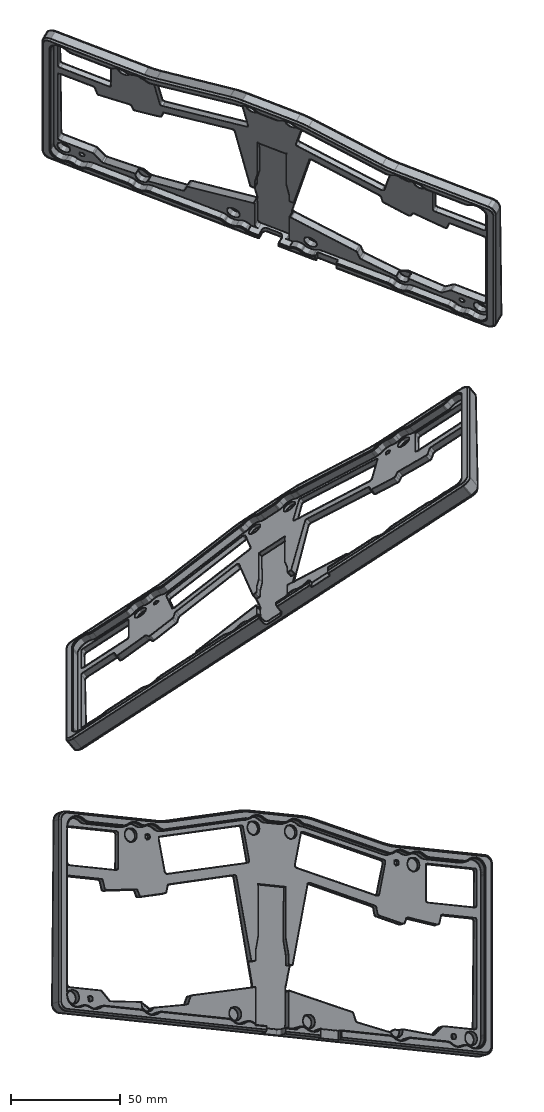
import cadquery as cq
import math

width = 229.0
height = 102.0
bottom_depth = 8.0
back_tilt = 1.0
arm_angle = 12.0
arm_inner_x = 16.7
arm_outer_x = 60.0
corner_radius = 4.1
bend_radius = 30.0
outer_chamfer = 1.0

rim_width = 4.4
recess_depth = 4.0
recess_corner_radius = 5.0
rim_chamfer = 0.5
relief_radius = 5.0
relief_blend = 4.5

hole_diameter = 6.5
pin_diameter = 2.5
skin = 0.8
bottom_row_z = 7.5
upper_row_z = 85.5
corner_column_x = 105.0
post_x = 65.7
hole_centres = [
    (corner_column_x, bottom_row_z),
    (post_x, bottom_row_z),
    (19.5, bottom_row_z),
    (74.7, upper_row_z),
    (9.8, 94.5),
]
pin_centres = [(96.0, bottom_row_z), (post_x, upper_row_z)]

window_side_x = 108.0
window_radius = 1.1
corner_window_x = 81.3
corner_window_top = 86.5
corner_window_bottom = 68.5
arm_window_length = 45.5
arm_window_height = 17.5
arm_window_centre = (36.0, 82.2)
main_window_outline = [
    (window_side_x, 63.7),
    (89.5, 63.7),
    (88.2, 58.6),
    (71.2, 60.7),
    (69.8, 57.2),
    (55.9, 60.2),
    (55.0, 64.3),
    (19.0, 72.1),
    (8.5, 21.0),
    (42.8, 14.0),
    (44.5, 9.6),
    (63.0, 6.5),
    (66.6, 8.7),
    (85.6, 7.3),
    (90.2, 12.0),
    (window_side_x, 12.0),
]

channel_half_width = 8.7
channel_top_half_width = 7.3
channel_bottom = 2.7
channel_corner_radius = 1.5
channel_mouth_radius = 0.7
channel_top = 69.0
channel_taper_top = 44.7
channel_taper_bottom = 37.8
channel_open_top = 33.0
channel_open_bottom = 21.0
channel_open_half_width = 13.7
channel_relief_half_width = 10.5

cable_gap_width = 10.0
cable_gap_depth = 5.7
cable_gap_radius = 1.8
notch_left = 23.8
notch_right = 34.1
notch_depth = 2.3
opening_height = rim_width


def front_plane(depth=0.0):
    """XZ workplane at a depth behind the front face; a negative extrusion goes deeper."""
    return cq.Workplane("XZ", origin=(0, depth, 0))


def mirrored_points(points):
    return points + [(-x, z) for x, z in points]


def block(x_range, y_range, z_range):
    sizes = [high - low for low, high in (x_range, y_range, z_range)]
    corner = (x_range[0], y_range[0], z_range[0])
    return cq.Workplane("XY", origin=corner).box(*sizes, centered=False)


def both_sides(solid):
    return solid.union(solid.mirror("YZ"))


def top_edge_outline(inset):
    """Closed outline of the tray, moved inward by the inset."""
    half_width = width / 2 - inset
    slope = math.tan(math.radians(arm_angle))
    shift = inset * math.tan(math.radians(arm_angle / 2))
    top = height - inset
    shoulder = height - (arm_outer_x - arm_inner_x) * slope - inset
    right = [
        (arm_inner_x - shift, top),
        (arm_outer_x - shift, shoulder),
        (half_width, shoulder),
        (half_width, inset),
    ]
    left = [(-x, z) for x, z in reversed(right)]
    return front_plane().polyline(right + left).close()


def wedge(back_offset=0.0):
    """Space in front of a plane parallel to the tilted back face, which is offset toward the front."""
    lean = math.tan(math.radians(back_tilt))
    lift = back_offset / math.cos(math.radians(back_tilt))
    back_bottom = bottom_depth - lift
    return (
        cq.Workplane("YZ")
        .polyline([(0, 0), (back_bottom, 0), (back_bottom - height * lean, height), (0, height)])
        .close()
        .extrude(width / 2, both=True)
    )


def outer_body():
    body = top_edge_outline(0).extrude(-bottom_depth)
    bend_x = (arm_outer_x + 2.3, arm_inner_x - 2.3)
    bends = cq.selectors.BoxSelector((-bend_x[0], -2.3, 68.7), (bend_x[0], bottom_depth + 2.3, height + 2.3))
    body = body.edges("|Y").edges(bends).fillet(bend_radius)
    corners = body.edges("|Y").edges("<X or >X")
    body = corners.fillet(corner_radius)
    body = body.intersect(wedge())
    return body.faces("<Y or >Y").chamfer(outer_chamfer)


def front_recess():
    recess = top_edge_outline(rim_width).extrude(-recess_depth)
    recess = recess.edges("|Y").edges("<X or >X").fillet(recess_corner_radius)
    relief_centres = hole_centres + pin_centres + [(corner_column_x, upper_row_z)]
    for x, z in mirrored_points(relief_centres):
        relief = front_plane().center(x, z).circle(relief_radius).extrude(-recess_depth)
        recess = recess.union(relief)
    channel_relief = block(
        (-channel_relief_half_width, channel_relief_half_width), (0, recess_depth), (channel_bottom, channel_top)
    )
    outline = recess.union(channel_relief).faces("<Y").wires()
    blended = front_plane().add(outline).toPending().offset2D(relief_blend).offset2D(-relief_blend)
    return blended.extrude(-recess_depth)


def windows():
    """Openings through the floor on both sides."""
    corner_window = block(
        (corner_window_x, window_side_x), (0, bottom_depth), (corner_window_bottom, corner_window_top)
    )
    arm_x, arm_z = arm_window_centre
    arm_window = (
        front_plane().rect(arm_window_length, arm_window_height).extrude(-bottom_depth)
        .rotate((0, 0, 0), (0, 1, 0), arm_angle)
        .translate((arm_x, 0, arm_z))
    )
    main_window = front_plane().polyline(main_window_outline).close().extrude(-bottom_depth)
    one_side = corner_window.union(arm_window).union(main_window)
    return both_sides(one_side.edges("|Y").fillet(window_radius))


def blind_holes():
    centres = [(hole_centres, hole_diameter), (pin_centres, pin_diameter)]
    holes = cq.Workplane()
    for points, diameter in centres:
        holes = holes.union(
            front_plane().pushPoints(mirrored_points(points)).circle(diameter / 2).extrude(-bottom_depth)
        )
    return holes


def cable_channel():
    right = [
        (channel_top_half_width, channel_top),
        (channel_top_half_width, channel_taper_top),
        (channel_half_width, channel_taper_bottom),
        (channel_half_width, channel_open_top),
        (channel_open_half_width, channel_open_top),
        (channel_open_half_width, channel_open_bottom),
        (channel_half_width, channel_open_bottom),
        (channel_half_width, channel_bottom),
    ]
    left = [(-x, z) for x, z in reversed(right)]
    channel = front_plane().polyline(right + left).close().extrude(-bottom_depth)
    channel = channel.edges("|Y").edges("<Z").fillet(channel_corner_radius)
    mouth_corners = cq.selectors.BoxSelector(
        (-channel_half_width - 2.3, -2.3, channel_open_bottom - 2.3),
        (channel_half_width + 2.3, bottom_depth + 2.3, channel_open_top + 2.3),
    )
    return channel.edges("|Y").edges(mouth_corners).fillet(channel_mouth_radius)


def cable_gap():
    half_width = cable_gap_width / 2
    gap = block((-half_width, half_width), (0, cable_gap_depth), (0, opening_height))
    return gap.edges("|Z and >Y").fillet(cable_gap_radius)


def rim_notch():
    """Shallow notch in the front of the rim whose side walls end in small chamfers."""
    outline = [
        (notch_left - rim_chamfer, 0),
        (notch_left, rim_chamfer),
        (notch_left, notch_depth),
        (notch_right, notch_depth),
        (notch_right, rim_chamfer),
        (notch_right + rim_chamfer, 0),
    ]
    return cq.Workplane("XY").polyline(outline).close().extrude(opening_height)


body = outer_body().cut(front_recess())
front_face = body.faces("<Y").val()
rim_edges = [edge for wire in front_face.innerWires() for edge in wire.Edges()]
body = body.newObject(rim_edges).chamfer(rim_chamfer)
body = body.cut(windows())
body = body.cut(blind_holes().union(cable_channel()).intersect(wedge(skin)))
result = body.cut(cable_gap()).cut(rim_notch())